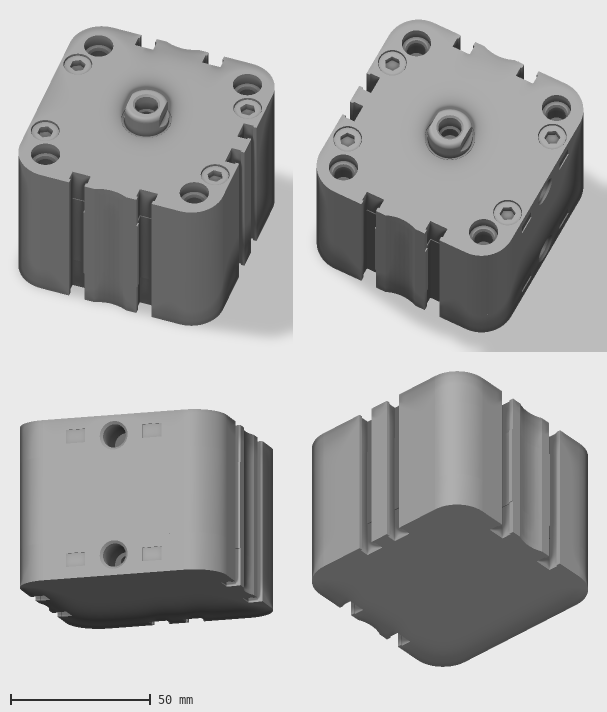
import cadquery as cq
import math


side = 77.0
half_side = side / 2
total_height = 67.0
rod_reach = 8.0
stack_height = total_height - rod_reach
cap_height = 13.6
barrel_height = stack_height - 2 * cap_height
top_cap_base = cap_height + barrel_height
corner_radius = 12.0

y_mouth_outer = 15.7
y_undercut_outer = 16.25
cap_mouth_inner = 9.85
cap_undercut_inner = 9.3
barrel_mouth_inner = 10.25
barrel_undercut_inner = 9.6
y_lip = 1.6
cap_y_depth = 5.4
barrel_y_depth = 5.1
x_slot_offset = 6.5
x_mouth_width = 5.7
x_undercut_width = 6.9
x_lip = 1.3
cap_x_depth = 5.1
barrel_x_depth = 4.8

hollow_half_width = 6.0
hollow_depth = 1.3

mount_offset = 28.25
mount_bore_diameter = 10.5
mount_bore_depth = 5.0
mount_rim_diameter = 7.85
mount_hole_diameter = 6.6
mount_cone_depth = 1.0

screw_x = 32.3
screw_y = 17.3
screw_recess_diameter = 10.3
screw_head_diameter = 9.8
screw_head_drop = 0.7
screw_gap_depth = 2.0
hex_flats = 5.0
hex_depth = 2.8
left_hex_turn = 30.0

port_from_face = 7.55
port_mouth_diameter = 10.5
port_diameter = 8.55
port_chamfer = (port_mouth_diameter - port_diameter) / 2
port_depth = 15.0
air_hole_diameter = 4.0
air_hole_rise = 0.9
air_hole_depth = 5.0

label_y = 14.4
label_from_face = 6.8
label_width = 7.15
label_height = 5.0
label_depth = 0.4

rod_diameter = 16.0
rod_flats = 13.0
rod_edge_fillet = 1.6
flat_length = 5.15
flat_slope = (rod_diameter - rod_flats) / 2
rod_mouth_diameter = 9.8
rod_bore_diameter = 8.4
rod_bore_depth = 6.9
rod_hole_diameter = 6.6
rod_hole_depth = 12.3
rod_cone_slope = math.radians(30)
seal_recess_diameter = 18.0
seal_lip_diameter = 17.7
seal_bore_diameter = 16.55
seal_lip_drop = 0.15
seal_gap_depth = 0.6



def disc(diameter, z_from, z_to):
    """Cylinder on the Z axis between two heights."""
    return cq.Workplane("XY").workplane(offset=z_from).circle(diameter / 2).extrude(z_to - z_from)


def cone(bottom_diameter, top_diameter, z_from, z_to):
    """Truncated cone on the Z axis between two heights."""
    return cq.Workplane(
        cq.Solid.makeCone(
            bottom_diameter / 2, top_diameter / 2, z_to - z_from, pnt=cq.Vector(0, 0, z_from)
        )
    )


def block(x_range, y_range, height):
    """Block standing on Z = 0 between two X and two Y positions."""
    (x_from, x_to), (y_from, y_to) = x_range, y_range
    return (
        cq.Workplane("XY")
        .center((x_from + x_to) / 2, (y_from + y_to) / 2)
        .rect(x_to - x_from, y_to - y_from)
        .extrude(height)
    )


def y_side_slot(height, mouth_inner, undercut_inner, depth):
    """Undercut slot in the +Y side, on its +X half."""
    mouth = block((mouth_inner, y_mouth_outer), (half_side - depth, half_side), height)
    undercut = block(
        (undercut_inner, y_undercut_outer), (half_side - depth, half_side - y_lip), height
    )
    return mouth.union(undercut)


def x_side_slot(height, depth):
    """Undercut slot in the +X side, on its +Y half."""
    def between(width):
        return (x_slot_offset - width / 2, x_slot_offset + width / 2)

    mouth = block((half_side - depth, half_side), between(x_mouth_width), height)
    undercut = block((half_side - depth, half_side - x_lip), between(x_undercut_width), height)
    return mouth.union(undercut)


def hollow(height):
    """Shallow round hollow in the middle of the +Y side."""
    return (
        cq.Workplane("XY")
        .moveTo(-hollow_half_width, half_side)
        .threePointArc((0, half_side - hollow_depth), (hollow_half_width, half_side))
        .close()
        .extrude(height)
    )


def grooved_block(height, mouth_inner, undercut_inner, y_depth, x_depth):
    """Rounded square block on Z = 0 with the side slots and hollows cut along its height."""
    body = cq.Workplane("XY").rect(side, side).extrude(height).edges("|Z").fillet(corner_radius)

    slot = y_side_slot(height, mouth_inner, undercut_inner, y_depth)
    y_side = slot.union(slot.mirror("YZ")).union(hollow(height))
    body = body.cut(y_side).cut(y_side.mirror("XZ"))

    slot = x_side_slot(height, x_depth)
    return body.cut(slot).cut(slot.mirror("XZ"))


def port(z):
    """Chamfered blind port running inward from the -X face."""
    profile = [
        (-half_side, 0),
        (-half_side, port_mouth_diameter / 2),
        (-half_side + port_chamfer, port_diameter / 2),
        (-half_side + port_depth, port_diameter / 2),
        (-half_side + port_depth, 0),
    ]
    cutter = cq.Workplane("XZ").polyline(profile).close().revolve(360, (0, 0), (1, 0))
    return cutter.translate((0, 0, z))


def labels(z):
    """Pair of shallow rectangular recesses in the -X face."""
    return (
        cq.Workplane("YZ")
        .workplane(offset=-half_side)
        .pushPoints([(-label_y, z), (label_y, z)])
        .rect(label_width, label_height)
        .extrude(label_depth)
    )


def cap_blank():
    return grooved_block(
        cap_height, cap_mouth_inner, cap_undercut_inner, cap_y_depth, cap_x_depth
    )


def make_bottom_cap():
    air_hole = (
        cq.Workplane("YZ")
        .workplane(offset=-half_side + port_depth)
        .center(0, port_from_face + air_hole_rise)
        .circle(air_hole_diameter / 2)
        .extrude(air_hole_depth)
    )
    return cap_blank().cut(port(port_from_face)).cut(air_hole).cut(labels(label_from_face))


def make_barrel():
    barrel = grooved_block(
        barrel_height, barrel_mouth_inner, barrel_undercut_inner, barrel_y_depth, barrel_x_depth
    )
    return barrel.translate((0, 0, cap_height))


def mount_hole():
    """Counterbored, countersunk hole through the top cap."""
    bore_floor = stack_height - mount_bore_depth
    bore = disc(mount_bore_diameter, bore_floor, stack_height)
    countersink = cone(
        mount_hole_diameter, mount_rim_diameter, bore_floor - mount_cone_depth, bore_floor
    )
    return disc(mount_hole_diameter, top_cap_base, stack_height).union(bore).union(countersink)


def screw_cut(hex_turn):
    """Clearance round a sunken screw head, with its hexagon socket."""
    head_top = stack_height - screw_head_drop
    recess = disc(screw_recess_diameter, stack_height - screw_gap_depth, stack_height)
    head = disc(screw_head_diameter, stack_height - screw_gap_depth, head_top)
    hex_corners = hex_flats / math.cos(math.pi / 6)
    socket = (
        cq.Workplane("XY")
        .workplane(offset=head_top - hex_depth)
        .polygon(6, hex_corners)
        .extrude(hex_depth)
        .rotate((0, 0, 0), (0, 0, 1), hex_turn)
    )
    return recess.cut(head).union(socket)


def rod_passage():
    """Rod hole through the top cap, with narrow gaps inside and outside a thin seal lip."""
    gap_floor = stack_height - seal_gap_depth
    lip_top = stack_height - seal_lip_drop
    recess = disc(seal_recess_diameter, gap_floor, stack_height)
    lip = disc(seal_lip_diameter, gap_floor, lip_top).cut(
        disc(seal_bore_diameter, gap_floor, lip_top)
    )
    return disc(rod_diameter, top_cap_base, stack_height).union(recess.cut(lip))


def make_top_cap():
    cap = cap_blank().translate((0, 0, top_cap_base))
    for x_sign in (-1, 1):
        hex_turn = left_hex_turn if x_sign < 0 else 0.0
        for y_sign in (-1, 1):
            cap = cap.cut(mount_hole().translate((x_sign * mount_offset, y_sign * mount_offset, 0)))
            cap = cap.cut(screw_cut(hex_turn).translate((x_sign * screw_x, y_sign * screw_y, 0)))
    cap = cap.cut(rod_passage())
    return cap.cut(port(stack_height - port_from_face)).cut(labels(stack_height - label_from_face))


def wrench_flat():
    """Cutter for the flat on the +X side of the rod end, with its sloped run-out."""
    flat_x = rod_flats / 2
    outer_x = rod_diameter / 2
    flat_base = total_height - flat_length
    profile = [
        (flat_x, total_height),
        (flat_x, flat_base),
        (outer_x, flat_base - flat_slope),
        (outer_x, total_height),
    ]
    return cq.Workplane("XZ").polyline(profile).close().extrude(rod_diameter / 2, both=True)


def make_rod():
    rod = disc(rod_diameter, top_cap_base, total_height)
    rod = rod.faces(">Z").edges().fillet(rod_edge_fillet)
    rod = rod.cut(wrench_flat()).cut(wrench_flat().mirror("YZ"))

    bore_floor = total_height - rod_bore_depth
    step_depth = (rod_bore_diameter - rod_hole_diameter) / 2 * math.tan(rod_cone_slope)
    mouth_chamfer = (rod_mouth_diameter - rod_bore_diameter) / 2
    rod = rod.cut(disc(rod_hole_diameter, total_height - rod_hole_depth, total_height))
    rod = rod.cut(cone(rod_hole_diameter, rod_bore_diameter, bore_floor - step_depth, bore_floor))
    rod = rod.cut(disc(rod_bore_diameter, bore_floor, total_height))
    return rod.cut(
        cone(rod_bore_diameter, rod_mouth_diameter, total_height - mouth_chamfer, total_height)
    )


bottom_cap = make_bottom_cap()
barrel = make_barrel()
top_cap = make_top_cap()
rod = make_rod()

result = cq.Compound.makeCompound([bottom_cap.val(), barrel.val(), top_cap.val(), rod.val()])